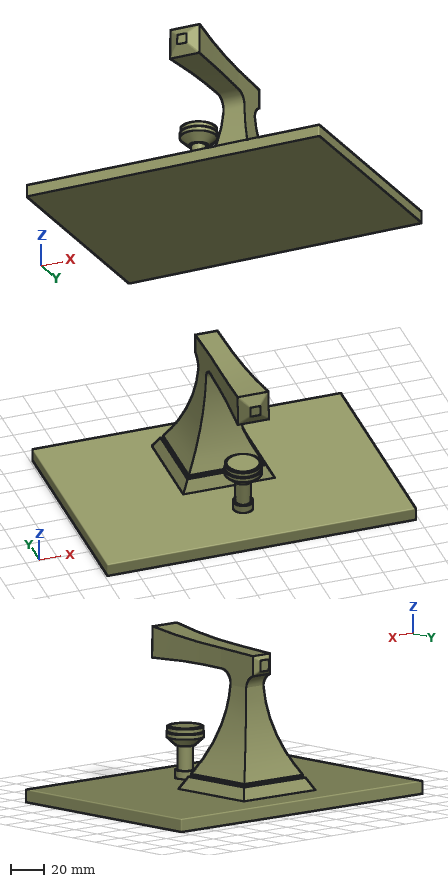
import cadquery as cq

PLATE_LENGTH = 196.8
PLATE_WIDTH = 139.8
PLATE_THICKNESS = 7.9
PLATE_EDGE_RADIUS = 0.8

PEDESTAL_Y = 20.3
FOOT_HALF = 29.1
FOOT_TOP_HALF = 25.0
FOOT_TOP_Z = 15.4
COLUMN_FOOT_HALF = 23.8
STEP_BEVEL = 0.5
COLUMN_FOOT_Z = 17.1
COLUMN_MID_HALF = 11.5
COLUMN_MID_Z = 45.7
NECK_HALF = 7.0
NECK_Z = 71.7

HEAD_BACK_Y = 33.3
HEAD_BACK_TOP_Z = 92.0
HEAD_BACK_BOTTOM_Z = 79.5
HEAD_FRONT_Y = 5.3
HEAD_FRONT_TOP_Z = 93.3
HEAD_FRONT_BOTTOM_Z = 80.7
FRONT_THROAT_BULGE = 2.0
BACK_THROAT_BULGE = 1.0

TIP_TOP_Y = -53.3
TIP_BOTTOM_Y = -54.0
TIP_TOP_Z = 99.2
TIP_BOTTOM_Z = 80.0
TIP_HALF = 9.8
HANDLE_TOP_SAG = 1.0
HANDLE_BOTTOM_RISE = 0.8
HANDLE_SIDE_SAG = 0.3

TIP_CAP_LENGTH = 4.0
TIP_CAP_FACE = 6.3
BACK_CAP_LENGTH = 2.8
BACK_CAP_FACE = 6.9
CAP_EDGE_RADIUS = 1.5

KNOB_Y = -34.8
COLLAR_RADIUS = 6.1
COLLAR_TOP_Z = 12.8
STEM_RADIUS = 4.7
CONE_Z = 28.0
CONE_RADIUS = 6.0
RIM_Z = 33.0
RIM_RADIUS = 11.5
RIM_TOP_Z = 35.8
CROWN_Z = 36.5
CROWN_RADIUS = 11.0
CROWN_TOP_Z = 39.2
KNOB_TOP_RADIUS = 10.0
KNOB_TOP_Z = 39.8


def midpoint(start, end, shift_first=0.0, shift_second=0.0):
    """Middle of two points, moved by a shift along each axis."""
    return (
        (start[0] + end[0]) / 2 + shift_first,
        (start[1] + end[1]) / 2 + shift_second,
    )


def make_plate():
    plate = cq.Workplane("XY").box(
        PLATE_LENGTH, PLATE_WIDTH, PLATE_THICKNESS, centered=(True, True, False)
    )
    return plate.edges(">Z or |Z").fillet(PLATE_EDGE_RADIUS)


def pedestal_slab(plane):
    """Pedestal outline, symmetric about its axis, extruded across the full width."""
    outline = (
        cq.Workplane(plane)
        .moveTo(0, 0)
        .lineTo(FOOT_HALF, 0)
        .lineTo(FOOT_HALF, PLATE_THICKNESS)
        .lineTo(FOOT_TOP_HALF, FOOT_TOP_Z)
        .lineTo(COLUMN_FOOT_HALF + STEP_BEVEL, FOOT_TOP_Z)
        .lineTo(COLUMN_FOOT_HALF, FOOT_TOP_Z + STEP_BEVEL)
        .lineTo(COLUMN_FOOT_HALF, COLUMN_FOOT_Z)
        .threePointArc((COLUMN_MID_HALF, COLUMN_MID_Z), (NECK_HALF, NECK_Z))
        .lineTo(0, NECK_Z)
        .mirrorY()
    )
    return outline.extrude(FOOT_HALF, both=True)


def make_pedestal():
    pedestal = pedestal_slab("XZ").intersect(pedestal_slab("YZ"))
    return pedestal.translate((0, PEDESTAL_Y, 0))


def make_head():
    neck_front = (PEDESTAL_Y - NECK_HALF, NECK_Z)
    neck_back = (PEDESTAL_Y + NECK_HALF, NECK_Z)
    front_bottom = (HEAD_FRONT_Y, HEAD_FRONT_BOTTOM_Z)
    back_bottom = (HEAD_BACK_Y, HEAD_BACK_BOTTOM_Z)
    front_throat = midpoint(neck_front, front_bottom, FRONT_THROAT_BULGE, FRONT_THROAT_BULGE)
    back_throat = midpoint(neck_back, back_bottom, -BACK_THROAT_BULGE, BACK_THROAT_BULGE)
    outline = (
        cq.Workplane("YZ")
        .moveTo(*neck_front)
        .threePointArc(front_throat, front_bottom)
        .lineTo(HEAD_FRONT_Y, HEAD_FRONT_TOP_Z)
        .lineTo(HEAD_BACK_Y, HEAD_BACK_TOP_Z)
        .lineTo(*back_bottom)
        .threePointArc(back_throat, neck_back)
        .close()
    )
    return outline.extrude(NECK_HALF, both=True)


def make_handle():
    """Side outline and plan outline of the handle, extruded and intersected."""
    root_top = (HEAD_FRONT_Y, HEAD_FRONT_TOP_Z)
    root_bottom = (HEAD_FRONT_Y, HEAD_FRONT_BOTTOM_Z)
    tip_top = (TIP_TOP_Y, TIP_TOP_Z)
    tip_bottom = (TIP_BOTTOM_Y, TIP_BOTTOM_Z)
    side = (
        cq.Workplane("YZ")
        .moveTo(*root_top)
        .threePointArc(midpoint(root_top, tip_top, 0, -HANDLE_TOP_SAG), tip_top)
        .lineTo(*tip_bottom)
        .threePointArc(midpoint(tip_bottom, root_bottom, 0, HANDLE_BOTTOM_RISE), root_bottom)
        .close()
        .extrude(TIP_HALF, both=True)
    )

    root_right = (NECK_HALF, HEAD_FRONT_Y)
    tip_right = (TIP_HALF, TIP_TOP_Y)
    plan = (
        cq.Workplane("XY")
        .moveTo(0, HEAD_FRONT_Y)
        .lineTo(*root_right)
        .threePointArc(midpoint(root_right, tip_right, -HANDLE_SIDE_SAG), tip_right)
        .lineTo(TIP_HALF, TIP_BOTTOM_Y)
        .lineTo(0, TIP_BOTTOM_Y)
        .mirrorY()
        .extrude(TIP_TOP_Z)
    )
    return side.intersect(plan)


def make_cap(top, bottom, width, length, face, outward):
    """Pyramid cap on the end face that runs between two (y, z) points, slanted edges rounded."""
    rise_y = top[0] - bottom[0]
    rise_z = top[1] - bottom[1]
    center = midpoint(top, bottom)
    end_plane = cq.Plane(
        origin=(0, *center),
        xDir=(1, 0, 0),
        normal=(0, outward * rise_z, -outward * rise_y),
    )
    height = (rise_y**2 + rise_z**2) ** 0.5
    cap = (
        cq.Workplane(end_plane)
        .rect(width, height)
        .workplane(offset=length)
        .rect(face, face)
        .loft(ruled=True)
    )
    return cap.edges("not (|X or #X)").fillet(CAP_EDGE_RADIUS)


def make_knob():
    profile = [
        (0, 0),
        (COLLAR_RADIUS, 0),
        (COLLAR_RADIUS, COLLAR_TOP_Z),
        (STEM_RADIUS, COLLAR_TOP_Z),
        (STEM_RADIUS, CONE_Z),
        (CONE_RADIUS, CONE_Z),
        (RIM_RADIUS, RIM_Z),
        (RIM_RADIUS, RIM_TOP_Z),
        (CROWN_RADIUS, CROWN_Z),
        (CROWN_RADIUS, CROWN_TOP_Z),
        (KNOB_TOP_RADIUS, KNOB_TOP_Z),
        (0, KNOB_TOP_Z),
    ]
    knob = cq.Workplane("XZ").polyline(profile).close().revolve(360, (0, 0), (0, 1))
    return knob.translate((0, KNOB_Y, 0))


tip_cap = make_cap(
    (TIP_TOP_Y, TIP_TOP_Z), (TIP_BOTTOM_Y, TIP_BOTTOM_Z),
    2 * TIP_HALF, TIP_CAP_LENGTH, TIP_CAP_FACE, -1,
)
back_cap = make_cap(
    (HEAD_BACK_Y, HEAD_BACK_TOP_Z), (HEAD_BACK_Y, HEAD_BACK_BOTTOM_Z),
    2 * NECK_HALF, BACK_CAP_LENGTH, BACK_CAP_FACE, 1,
)

result = (
    make_plate()
    .union(make_pedestal())
    .union(make_head())
    .union(make_handle())
    .union(tip_cap)
    .union(back_cap)
    .union(make_knob())
)